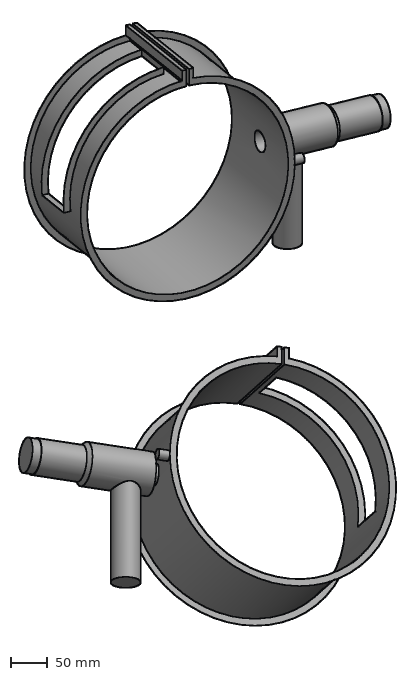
import cadquery as cq

ring_width = 160.0
ring_outer_radius = 167.5
ring_wall = 10.5
ring_inner_radius = ring_outer_radius - ring_wall

split_gap = 4.0
lug_thickness = 6.5
lug_top = 182.5

window_width = 62.0
window_bottom = -18.0
window_top_edge_y = -10.5

stud_diameter = 15.0
stud_end_y = 183.0
stud_x = (ring_width - stud_diameter) / 2

spigot_end_y = 348.0
spigot_length = 80.0
neck_diameter = 51.5
tip_diameter = 49.5
tip_length = 13.0
tip_start_y = spigot_end_y - tip_length

pipe_diameter = 62.0
pipe_end_y = spigot_end_y - spigot_length
chamfer_length = 6.0
chamfer_depth = (pipe_diameter - neck_diameter) / 2
bore_diameter = 31.0

branch_diameter = 41.0
branch_y = 200.0
branch_bottom = -165.0


def rod_along_y(diameter, start_y, end_y, x=0):
    """Round rod parallel to Y at height zero."""
    plane = cq.Workplane("XZ", origin=(x, start_y, 0))
    return plane.circle(diameter / 2).extrude(start_y - end_y)


def disc_along_x(radius):
    """Cylinder on the ring axis, as wide as the ring, with its seam at the top where the ring is split."""
    plane = cq.Workplane("YZ", origin=(-ring_width / 2, 0, 0))
    return plane.circle(radius).extrude(ring_width).rotate((0, 0, 0), (1, 0, 0), 90)


def block(width, y_range, z_range):
    """Box centred on X = 0 that spans the given Y and Z ranges."""
    depth = y_range[1] - y_range[0]
    height = z_range[1] - z_range[0]
    corner = (-width / 2, y_range[0], z_range[0])
    return cq.Workplane("XY").box(width, depth, height, centered=False).translate(corner)


def make_lugs():
    """Block that becomes the two lugs once the split is cut."""
    half_depth = split_gap / 2 + lug_thickness
    return block(ring_width, (-half_depth, half_depth), (ring_inner_radius, lug_top))


def make_pipe():
    profile = [
        (0, 0),
        (pipe_diameter / 2, 0),
        (pipe_diameter / 2, pipe_end_y - chamfer_length),
        (pipe_diameter / 2 - chamfer_depth, pipe_end_y),
        (0, pipe_end_y),
    ]
    pipe = cq.Workplane("XY").polyline(profile).close().revolve(360, (0, 0, 0), (0, 1, 0))
    branch = cq.Workplane("XY", origin=(0, branch_y, 0)).circle(branch_diameter / 2).extrude(branch_bottom)
    return pipe.union(branch)


def make_housing():
    """Clamp ring with its studs, lugs, pipe and branch."""
    housing = disc_along_x(ring_outer_radius).union(make_lugs()).union(make_pipe())
    for x in (-stud_x, stud_x):
        housing = housing.union(rod_along_y(stud_diameter, 0, stud_end_y, x))

    housing = housing.cut(disc_along_x(ring_inner_radius))
    housing = housing.cut(block(ring_width, (-split_gap / 2, split_gap / 2), (0, lug_top)))
    housing = housing.cut(
        block(window_width, (-ring_outer_radius, window_top_edge_y), (window_bottom, ring_outer_radius))
    )

    return housing.cut(rod_along_y(bore_diameter, 0, pipe_end_y))


def make_spigot():
    """Solid rod that closes the end of the pipe, slightly reduced at its tip."""
    neck = rod_along_y(neck_diameter, pipe_end_y, tip_start_y)
    tip = rod_along_y(tip_diameter, tip_start_y, spigot_end_y)
    return neck.union(tip)


housing = make_housing()
spigot = make_spigot()

result = cq.Compound.makeCompound([housing.val(), spigot.val()])